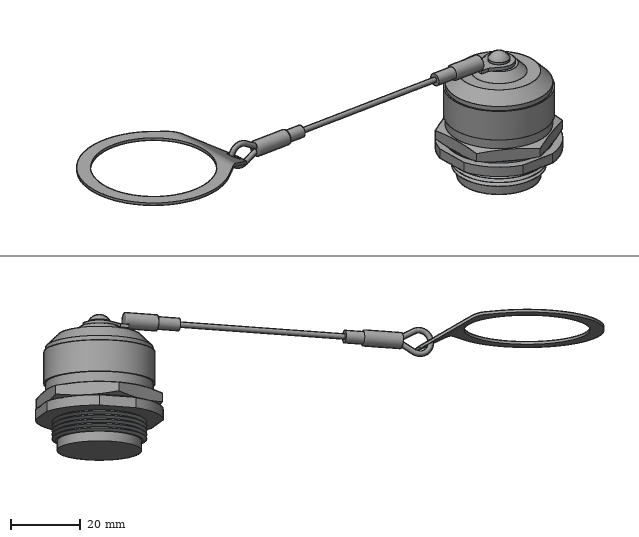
import cadquery as cq
import math


overall_length = 169.4

spigot_radius = 12.2
spigot_height = 2.9
thread_crest_radius = 13.7
thread_root_radius = 12.7
thread_pitch = 1.25
thread_turns = 5
flange_half_width = 17.6
flange_corner_radius = 18.5
flange_thickness = 3.0
flange_bottom = spigot_height + thread_turns * thread_pitch
flange_top = flange_bottom + flange_thickness

hex_across_flats = 32.4
hex_corner_radius = hex_across_flats / 2 / math.cos(math.radians(30))
hex_height = 3.9
hex_chamfer_slope = math.tan(math.radians(15))
washer_face_radius = 16.0
washer_face_height = 0.7
hex_bottom = flange_top + washer_face_height
hex_top = hex_bottom + hex_height
cap_neck_radius = 15.5
band_radius = 16.1
band_bottom = 19.8
band_top = 29.1
shoulder_bottom = 30.5
shoulder_top_radius = 12.0
boss_bottom_radius = 8.1
boss_top_radius = 5.6
shoulder_top = shoulder_bottom + cap_neck_radius - shoulder_top_radius
boss_top = shoulder_top + boss_bottom_radius - boss_top_radius

rivet_head_radius = 3.2
rivet_rim_height = 0.7
rivet_dome_height = 2.0
rivet_shank_radius = 1.9
rivet_depth_in_cap = 2.5

lug_radius = 4.7
lug_thickness = 1.0
lug_neck_half_width = 2.2
lug_neck_start = 5.8
lug_top = boss_top + lug_thickness
barrel_radius = 2.4
collar_radius = 1.9
sleeve_edge_fillet = 0.3
lug_overlap = 0.8
terminal_start = -7.5
terminal_barrel_length = 10.0
terminal_collar_length = 6.6
terminal_step = terminal_start - terminal_barrel_length
terminal_end = terminal_step - terminal_collar_length

cable_radius = 0.81
cable_height = 39.1
cable_start = terminal_step + terminal_barrel_length / 2
ferrule_start = -74.2
ferrule_collar_length = 5.6
ferrule_barrel_length = 11.7
ferrule_step = ferrule_start - ferrule_collar_length
ferrule_end = ferrule_step - ferrule_barrel_length
loop_diameter = 7.0
loop_radius = loop_diameter / 2
loop_center = -96.9
strand_split_depth = 1.7
loop_junction = ferrule_end + strand_split_depth

tab_top = 45.9
tab_thickness = 0.8
ring_outer_diameter = 44.5
ring_inner_diameter = 36.5
ring_outer_radius = ring_outer_diameter / 2
ring_inner_radius = ring_inner_diameter / 2
ring_center = flange_half_width - overall_length + ring_outer_radius
ear_tip = -96.4
ear_tip_half_width = 2.0
ear_angle = math.radians(31)
bend_ring_end = -112.1
bend_ear_end = -108.5
ear_hole_radius = 1.9
ear_hole_center = -99.6


def revolved(profile):
    """Turn a closed (radius, height) outline about the Z axis."""
    return cq.Workplane("XZ").polyline(profile).close().revolve(360, (0, 0), (0, 1))


def y_cylinder(radius, start, end):
    """Round bar on the lanyard axis between two Y positions, given in either order."""
    return cq.Workplane("XZ", origin=(0, start, cable_height)).circle(radius).extrude(start - end)


def tangent_point(radius, x, y):
    """Touch point, on the +X side, of the tangent from (x, y) to a circle about the origin.

    The point (x, y) lies outside the circle.
    """
    angle = math.atan2(y, x) + math.copysign(math.acos(radius / math.hypot(x, y)), -y)
    return radius * math.cos(angle), radius * math.sin(angle)


def make_receptacle():
    profile = [(0, 0), (spigot_radius, 0), (spigot_radius, spigot_height)]
    for turn in range(thread_turns):
        root_height = spigot_height + turn * thread_pitch
        profile.append((thread_root_radius, root_height))
        profile.append((thread_crest_radius, root_height + thread_pitch / 2))
    profile += [(thread_root_radius, flange_bottom), (0, flange_bottom)]
    threaded_end = revolved(profile)

    flange_plane = cq.Workplane("XY").workplane(offset=flange_bottom)
    flange = flange_plane.circle(flange_corner_radius).extrude(flange_thickness)
    flats = flange_plane.rect(2 * flange_half_width, 2 * flange_half_width).extrude(flange_thickness)
    return threaded_end.union(flange.intersect(flats))


def make_cap():
    hexagon = (
        cq.Workplane("XY").workplane(offset=hex_bottom)
        .polygon(6, 2 * hex_corner_radius).extrude(hex_height)
    )
    bevel_radius = hex_across_flats / 2
    bevel_height = (hex_corner_radius - bevel_radius) * hex_chamfer_slope
    envelope = revolved([
        (0, hex_bottom),
        (bevel_radius, hex_bottom),
        (hex_corner_radius, hex_bottom + bevel_height),
        (hex_corner_radius, hex_top - bevel_height),
        (bevel_radius, hex_top),
        (0, hex_top),
    ])
    turned_body = revolved([
        (0, flange_top),
        (washer_face_radius, flange_top),
        (washer_face_radius, hex_top),
        (cap_neck_radius, hex_top),
        (cap_neck_radius, band_bottom),
        (band_radius, band_bottom),
        (band_radius, band_top),
        (cap_neck_radius, band_top),
        (cap_neck_radius, shoulder_bottom),
        (shoulder_top_radius, shoulder_top),
        (boss_bottom_radius, shoulder_top),
        (boss_top_radius, boss_top),
        (0, boss_top),
    ])
    rivet_hole = (
        cq.Workplane("XY").workplane(offset=boss_top)
        .circle(rivet_shank_radius).extrude(-rivet_depth_in_cap)
    )
    return turned_body.union(hexagon.intersect(envelope)).cut(rivet_hole)


def make_rivet():
    shank_bottom = boss_top - rivet_depth_in_cap
    rim_top = lug_top + rivet_rim_height
    dome_top = rim_top + rivet_dome_height
    sphere_radius = (rivet_head_radius**2 + rivet_dome_height**2) / (2 * rivet_dome_height)
    sphere_center = dome_top - sphere_radius
    mid_angle = (math.asin((rim_top - sphere_center) / sphere_radius) + math.pi / 2) / 2
    dome_mid = (
        sphere_radius * math.cos(mid_angle),
        sphere_center + sphere_radius * math.sin(mid_angle),
    )
    return (
        cq.Workplane("XZ")
        .moveTo(0, shank_bottom)
        .lineTo(rivet_shank_radius, shank_bottom)
        .lineTo(rivet_shank_radius, lug_top)
        .lineTo(rivet_head_radius, lug_top)
        .lineTo(rivet_head_radius, rim_top)
        .threePointArc(dome_mid, (0, dome_top))
        .close()
        .revolve(360, (0, 0), (0, 1))
    )


def make_sleeve(barrel_end, step, collar_end):
    """Barrel with rounded rims and a thinner collar on the cable side."""
    barrel = y_cylinder(barrel_radius, barrel_end, step)
    barrel = barrel.edges("%CIRCLE").fillet(sleeve_edge_fillet)
    return barrel.union(y_cylinder(collar_radius, step, collar_end))


def make_terminal(cable):
    touch_x, touch_y = tangent_point(lug_radius, lug_neck_half_width, -lug_neck_start)
    neck_end = terminal_start - lug_overlap
    lug = (
        cq.Workplane("XY").workplane(offset=boss_top)
        .moveTo(lug_neck_half_width, neck_end)
        .lineTo(lug_neck_half_width, -lug_neck_start)
        .lineTo(touch_x, touch_y)
        .threePointArc((0, lug_radius), (-touch_x, touch_y))
        .lineTo(-lug_neck_half_width, -lug_neck_start)
        .lineTo(-lug_neck_half_width, neck_end)
        .close()
        .extrude(lug_thickness)
    )
    rivet_hole = (
        cq.Workplane("XY").workplane(offset=boss_top).circle(rivet_shank_radius).extrude(lug_thickness)
    )
    sleeve = make_sleeve(terminal_start, terminal_step, terminal_end)
    return sleeve.union(lug.cut(rivet_hole)).cut(cable)


def make_cable():
    spread = math.asin(loop_radius / (loop_junction - loop_center))
    touch_y = loop_center + loop_radius * math.sin(spread)
    touch_rise = loop_radius * math.cos(spread)
    path = (
        cq.Workplane("YZ")
        .moveTo(loop_junction, cable_height)
        .lineTo(touch_y, cable_height + touch_rise)
        .threePointArc((loop_center - loop_radius, cable_height), (touch_y, cable_height - touch_rise))
        .lineTo(loop_junction, cable_height)
    )
    strand_direction = (0, -math.cos(spread), math.sin(spread))
    strand_plane = cq.Plane((0, loop_junction, cable_height), (1, 0, 0), strand_direction)
    loop = cq.Workplane(strand_plane).circle(cable_radius).sweep(path)
    return y_cylinder(cable_radius, cable_start, loop_junction).union(loop)


def make_ferrule(cable):
    return make_sleeve(ferrule_end, ferrule_step, ferrule_start).cut(cable)


def make_ring_tab():
    touch_x, touch_y = tangent_point(ring_outer_radius, ear_tip_half_width, ear_tip - ring_center)
    plan = (
        cq.Workplane("XY")
        .moveTo(ear_tip_half_width, ear_tip)
        .lineTo(touch_x, ring_center + touch_y)
        .threePointArc((0, ring_center - ring_outer_radius), (-touch_x, ring_center + touch_y))
        .lineTo(-ear_tip_half_width, ear_tip)
        .close()
        .extrude(tab_top)
    )
    opening = cq.Workplane("XY").center(0, ring_center).circle(ring_inner_radius).extrude(tab_top)

    outer_radius = (bend_ear_end - bend_ring_end) / math.sin(ear_angle)
    inner_radius = outer_radius - tab_thickness
    bend_center = tab_top - outer_radius
    sheet_end = ring_center - ring_outer_radius

    def on_bend(radius, angle):
        return bend_ring_end + radius * math.sin(angle), bend_center + radius * math.cos(angle)

    def on_ear(radius):
        start_y, start_z = on_bend(radius, ear_angle)
        return ear_tip, start_z - (ear_tip - start_y) * math.tan(ear_angle)

    sheet = (
        cq.Workplane("YZ")
        .moveTo(sheet_end, tab_top)
        .lineTo(bend_ring_end, tab_top)
        .threePointArc(on_bend(outer_radius, ear_angle / 2), on_bend(outer_radius, ear_angle))
        .lineTo(*on_ear(outer_radius))
        .lineTo(*on_ear(inner_radius))
        .lineTo(*on_bend(inner_radius, ear_angle))
        .threePointArc(on_bend(inner_radius, ear_angle / 2), on_bend(inner_radius, 0))
        .lineTo(sheet_end, tab_top - tab_thickness)
        .close()
        .extrude(ring_outer_radius, both=True)
    )
    hole = cq.Workplane("XY").center(0, ear_hole_center).circle(ear_hole_radius).extrude(tab_top)
    return plan.intersect(sheet).cut(opening).cut(hole)


receptacle = make_receptacle()
cap = make_cap()
rivet = make_rivet()
cable = make_cable()
terminal = make_terminal(cable)
ferrule = make_ferrule(cable)
ring_tab = make_ring_tab()

result = cq.Compound.makeCompound([
    receptacle.solids().val(),
    cap.solids().val(),
    rivet.solids().val(),
    terminal.solids().val(),
    cable.solids().val(),
    ferrule.solids().val(),
    ring_tab.solids().val(),
])